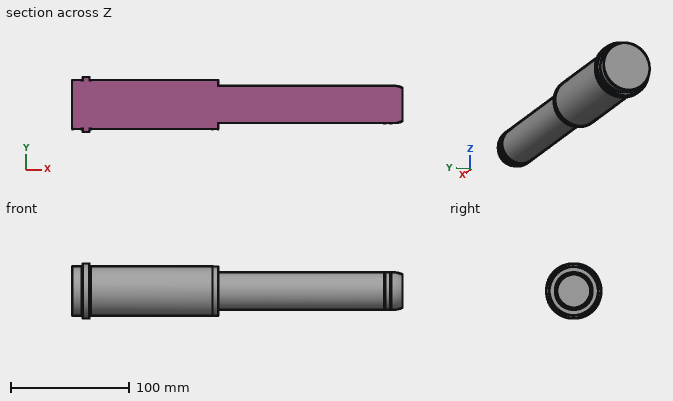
import cadquery as cq

total_length = 280.0
collar_start = 9.0
collar_end = 15.0
sleeve_end = 124.0
lead_length = 5.0
nose_length = 7.0
lead_start = sleeve_end - lead_length
nose_start = total_length - nose_length

sleeve_diameter = 42.0
lead_diameter = 41.95
collar_diameter = 47.0
pin_diameter = 32.0
nose_tip_diameter = 28.0

head_chamfer = 0.5
collar_chamfer = 0.5
lead_chamfer = 0.5

undercut_width = 1.0
undercut_depth = 0.25

groove_count = 2
groove_width = 1.0
groove_depth = 0.25
groove_pitch = 5.0
last_groove_start = 269.5


def rod(start, end, diameter):
    """Cylinder about the X axis between two stations."""
    return cq.Workplane("YZ", origin=(start, 0, 0)).circle(diameter / 2).extrude(end - start)


def groove_cutter(start, width, diameter, depth):
    """Ring that cuts a square groove of the given depth into a cylinder of the given diameter."""
    end = start + width
    floor_diameter = diameter - 2 * depth
    return rod(start, end, diameter).cut(rod(start, end, floor_diameter))


def make_sleeve():
    """Large body: a barrel undercut beside the collar, then a slightly reduced lead."""
    barrel = rod(0, lead_start, sleeve_diameter).faces("<X").chamfer(head_chamfer)
    for start in (collar_start - undercut_width, collar_end):
        barrel = barrel.cut(groove_cutter(start, undercut_width, sleeve_diameter, undercut_depth))
    lead = rod(lead_start, sleeve_end, lead_diameter).faces(">X").chamfer(lead_chamfer)
    return barrel.union(lead)


def make_collar():
    """Locating collar with both rims chamfered."""
    collar = rod(collar_start, collar_end, collar_diameter)
    return collar.faces("<X or >X").chamfer(collar_chamfer)


def make_pin():
    """Slim pin with a nose rounded by an arc tangent to the pin wall, and ring grooves."""
    profile = (
        cq.Workplane("XY")
        .moveTo(sleeve_end, 0)
        .lineTo(sleeve_end, pin_diameter / 2)
        .lineTo(nose_start, pin_diameter / 2)
        .tangentArcPoint((total_length, nose_tip_diameter / 2), relative=False)
        .lineTo(total_length, 0)
        .close()
    )
    pin = profile.revolve(360, (0, 0, 0), (1, 0, 0))
    for index in range(groove_count):
        start = last_groove_start - index * groove_pitch
        pin = pin.cut(groove_cutter(start, groove_width, pin_diameter, groove_depth))
    return pin


result = make_sleeve().union(make_collar()).union(make_pin())